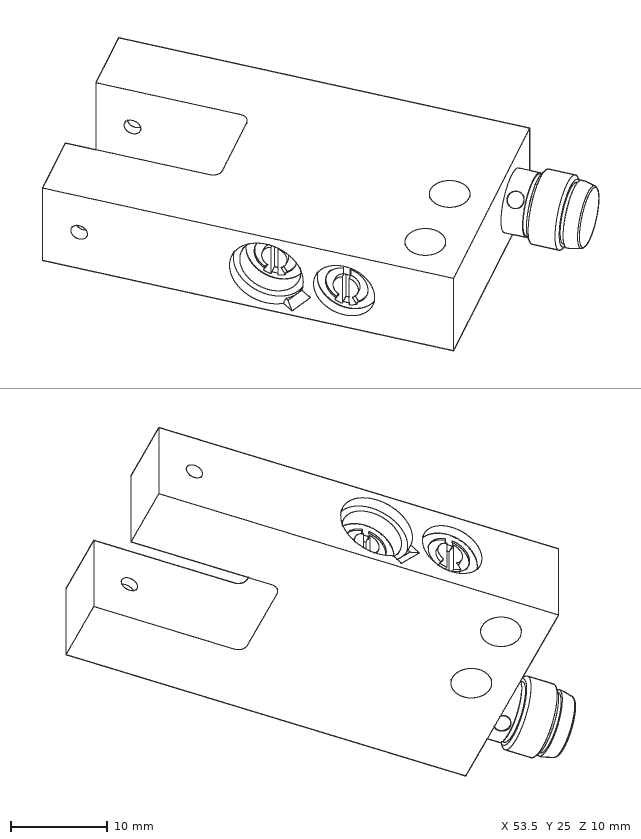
import cadquery as cq
import math

total_length = 53.5
body_length = 45.0
body_width = 25.0
body_height = 10.0
front_y = -body_width / 2

gap_length = 16.85
gap_width = 10.0
gap_corner_radius = 1.0

mount_diameter = 4.2
mount_end_distance = 4.6
mount_x = body_length - mount_end_distance
mount_pitch = 7.95

optic_diameter = 1.8
optic_x = 4.0
indicator_depth = 1.5
lens_depth = 1.0

deep_screw_x = 24.5
shallow_screw_x = 33.0
deep_head_depth = 2.95
shallow_head_depth = 0.85
bore_diameter = 6.7
head_face_diameter = 5.7
head_rim_sweep = 75.0
dial_diameter = 4.65
dial_depth = 0.2
grip_diameter = 2.8
grip_height = 0.55
tail_waist = 1.3
tail_foot = 2.8
tail_start = 1.0
blade_slot_width = 0.75
blade_slot_depth = 0.65
blade_slot_top = 1.5

recess_diameter = 8.1
recess_depth = 1.3
notch_angle = -40.0
notch_width = 3.1
notch_reach = 5.0
notch_depth = 0.8

connector_edge_distance = 6.0
connector_y = body_width / 2 - connector_edge_distance
collar_diameter = 6.9
neck_diameter = 6.6
nut_diameter = 8.0
nut_end_diameter = 7.2
tip_diameter = 6.7
end_face_diameter = 6.4
collar_length = 2.35
neck_length = 0.5
nut_length = 3.6
nut_chamfer = 0.3
rear_neck_length = 0.45
lip_length = 0.3
tip_chamfer = 0.15
dimple_diameter = 1.8
dimple_offset = 1.25
dimple_x = body_length + dimple_offset
dimple_floor_radius = 3.2
dimple_first_angle = 15.0
dimple_count = 3


def make_body():
    body = cq.Workplane("XY").box(body_length, body_width, body_height, centered=(False, True, True))
    gap = (
        cq.Workplane("XY")
        .box(gap_length, gap_width, body_height, centered=(False, True, True))
        .edges("|Z and >X")
        .fillet(gap_corner_radius)
    )
    mount_holes = (
        cq.Workplane("XY")
        .pushPoints([(mount_x, 0), (mount_x, -mount_pitch)])
        .circle(mount_diameter / 2)
        .extrude(body_height, both=True)
    )
    return body.cut(gap).cut(mount_holes)


def face_plane(x, y):
    """Plane facing -Y at the given place, with local x along X and local y along Z."""
    return cq.Workplane(cq.Plane(origin=(x, y, 0), xDir=(1, 0, 0), normal=(0, -1, 0)))


def blind_hole(x, y, diameter, depth):
    return face_plane(x, y).circle(diameter / 2).extrude(-depth)


def screw_pocket(x, head_depth):
    """Material removed above one screw head, down to the details of its dial."""
    head_y = front_y + head_depth
    bore_radius = bore_diameter / 2
    face_radius = head_face_diameter / 2

    sweep = math.radians(head_rim_sweep)
    rim_radius = (bore_radius - face_radius) / math.sin(sweep)
    rim_middle = (
        face_radius + rim_radius * math.sin(sweep / 2),
        head_depth + rim_radius * (1 - math.cos(sweep / 2)),
    )
    rim_end = (bore_radius, head_depth + rim_radius * (1 - math.cos(sweep)))
    pocket = (
        cq.Workplane("XY")
        .lineTo(0, head_depth)
        .lineTo(face_radius, head_depth)
        .threePointArc(rim_middle, rim_end)
        .lineTo(bore_radius, 0)
        .close()
        .revolve(360, (0, 0, 0), (0, 1, 0))
        .translate((x, front_y, 0))
    )

    dial_radius = dial_diameter / 2
    dial = blind_hole(x, head_y, dial_diameter, dial_depth)
    bridge = (
        face_plane(x, head_y)
        .center(0, dial_radius / 2)
        .rect(blade_slot_width, dial_radius)
        .extrude(-dial_depth)
    )
    pocket = pocket.union(dial.cut(bridge))

    floor = face_plane(x, head_y + dial_depth)
    grip = floor.circle(grip_diameter / 2).extrude(grip_height)
    tail_corners = [
        (-tail_waist / 2, -tail_start),
        (tail_waist / 2, -tail_start),
        (tail_foot / 2, -dial_radius),
        (-tail_foot / 2, -dial_radius),
    ]
    tail = floor.polyline(tail_corners).close().extrude(grip_height)
    dial_column = floor.circle(dial_radius).extrude(grip_height)
    pocket = pocket.cut(grip.union(tail.intersect(dial_column)))

    grip_top = floor.workplane(offset=grip_height)
    slot_length = blade_slot_top + dial_radius
    slot_depth = grip_height + blade_slot_depth
    blade_slot = (
        grip_top.center(0, blade_slot_top - slot_length / 2)
        .rect(blade_slot_width, slot_length)
        .extrude(-slot_depth)
    )
    slot_column = grip_top.circle(dial_radius).extrude(-slot_depth)
    return pocket.union(blade_slot.intersect(slot_column))


def notch():
    """Wedge sloping from the front face down into the recess, turned about the screw axis."""
    recess_radius = recess_diameter / 2
    wedge = (
        cq.Workplane("XY")
        .polyline([(notch_reach, 0), (0, 0), (0, notch_depth), (recess_radius, notch_depth)])
        .close()
        .extrude(notch_width / 2, both=True)
    )
    return wedge.rotate((0, 0, 0), (0, 1, 0), -notch_angle).translate((deep_screw_x, front_y, 0))


def make_connector():
    neck_start = body_length + collar_length
    nut_start = neck_start + neck_length
    nut_end = nut_start + nut_length
    lip_start = nut_end + rear_neck_length
    profile = [
        (body_length, 0),
        (body_length, collar_diameter / 2),
        (neck_start, collar_diameter / 2),
        (neck_start, neck_diameter / 2),
        (nut_start, neck_diameter / 2),
        (nut_start, nut_end_diameter / 2),
        (nut_start + nut_chamfer, nut_diameter / 2),
        (nut_end - nut_chamfer, nut_diameter / 2),
        (nut_end, nut_end_diameter / 2),
        (nut_end, neck_diameter / 2),
        (lip_start, neck_diameter / 2),
        (lip_start, nut_end_diameter / 2),
        (lip_start + lip_length, nut_end_diameter / 2),
        (total_length - tip_chamfer, tip_diameter / 2),
        (total_length, end_face_diameter / 2),
        (total_length, 0),
    ]
    connector = cq.Workplane("XY").polyline(profile).close().revolve(360, (0, 0, 0), (1, 0, 0))
    for index in range(dimple_count):
        angle = dimple_first_angle + index * 360 / dimple_count
        dimple = (
            cq.Workplane("XZ", origin=(dimple_x, dimple_floor_radius, 0))
            .circle(dimple_diameter / 2)
            .extrude(-collar_diameter / 2)
            .rotate((0, 0, 0), (1, 0, 0), angle)
        )
        connector = connector.cut(dimple)
    return connector.translate((0, connector_y, 0))


result = make_body()
result = result.cut(blind_hole(optic_x, front_y, optic_diameter, indicator_depth))
result = result.cut(blind_hole(optic_x, gap_width / 2, optic_diameter, lens_depth))
result = result.cut(screw_pocket(deep_screw_x, deep_head_depth))
result = result.cut(screw_pocket(shallow_screw_x, shallow_head_depth))
result = result.cut(blind_hole(deep_screw_x, front_y, recess_diameter, recess_depth))
result = result.cut(notch())
result = result.union(make_connector())